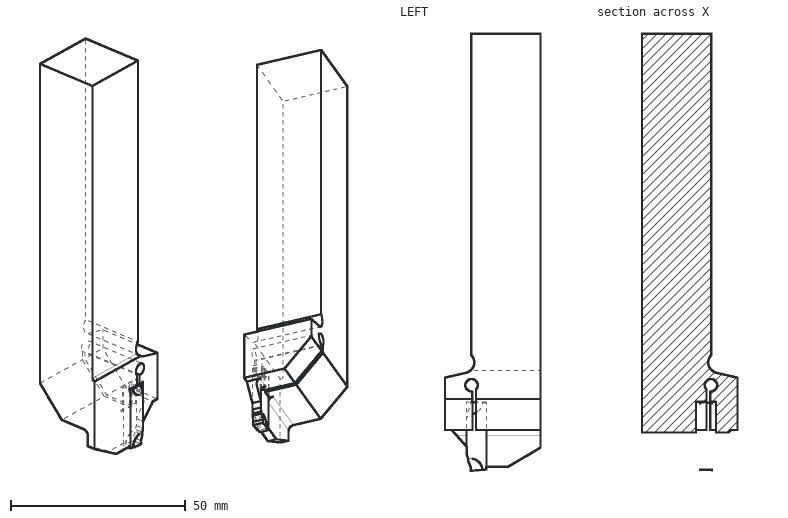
import cadquery as cq
import math

arc_mid = math.sqrt(0.5)

tool_length = 125.0
shank_size = 19.9

head_right = 20.8
head_back = 27.4
step_z = 28.8
step_fillet = 0.8
head_bottom = 11.6
chamfer_width = 8.2
chamfer_height = 9.0

blade_left = 18.1
blade_bottom = 1.1
blade_fillet = 1.5
blade_slope_width = 9.4
blade_slope_top = 6.6

jaw_slope_start = 25.4
jaw_tip_z = 6.9
relief_radius = 3.0
relief_y = 22.0
relief_z = 31.0
jaw_top_slope = math.radians(13)

hole_y = 19.8
hole_z = 24.5
hole_diameter = 3.5
slot_front = 18.5
slot_back = 19.5

insert_length = 19.8
insert_front = 15.5
insert_back = 21.1
insert_left = blade_left
insert_right = head_right
edge_y = 20.0
end_relief = 0.4

land_length = 1.1
ridge_y = 20.8
ridge_start = 2.8
ridge_end = 3.5
rake_end = 4.6

head_overhang = 0.2
nose_radius = 0.2
flank_front = 16.6
flank_mid_y = 17.8
flank_mid_z = 2.6


def cut_box(x0, x1, y0, y1, z0, z1):
    """Box given by its limits along each axis."""
    return cq.Workplane("XY").box(x1 - x0, y1 - y0, z1 - z0, centered=False).translate((x0, y0, z0))


def holder_side_profile():
    """Outline of shank, jaw and blade in the YZ plane, extruded across the head."""
    arc_start_z = relief_z + math.sqrt(relief_radius**2 - (relief_y - shank_size) ** 2)
    arc_end_y = relief_y - relief_radius * math.sin(jaw_top_slope)
    arc_end_z = relief_z - relief_radius * math.cos(jaw_top_slope)
    jaw_top_z = arc_end_z - (head_back - arc_end_y) * math.tan(jaw_top_slope)
    return (
        cq.Workplane("YZ")
        .moveTo(0, blade_slope_top)
        .lineTo(0, tool_length)
        .lineTo(shank_size, tool_length)
        .lineTo(shank_size, arc_start_z)
        .threePointArc((relief_y - relief_radius, relief_z), (arc_end_y, arc_end_z))
        .lineTo(head_back, jaw_top_z)
        .lineTo(head_back, head_bottom)
        .lineTo(jaw_slope_start, head_bottom)
        .lineTo(insert_back, jaw_tip_z)
        .lineTo(insert_front, blade_bottom)
        .lineTo(blade_slope_width, blade_bottom)
        .close()
        .extrude(head_right)
    )


def holder_front_profile():
    """Outline of shank, stepped head and blade in the XZ plane, extruded over the full depth."""
    step_center = (shank_size + step_fillet, step_z + step_fillet)
    blade_center = (blade_left - blade_fillet, head_bottom - blade_fillet)
    step_mid = (step_center[0] - step_fillet * arc_mid, step_center[1] - step_fillet * arc_mid)
    blade_mid = (blade_center[0] + blade_fillet * arc_mid, blade_center[1] + blade_fillet * arc_mid)
    return (
        cq.Workplane("XZ")
        .moveTo(0, head_bottom + chamfer_height)
        .lineTo(0, tool_length)
        .lineTo(shank_size, tool_length)
        .lineTo(shank_size, step_center[1])
        .threePointArc(step_mid, (step_center[0], step_z))
        .lineTo(head_right, step_z)
        .lineTo(head_right, 0)
        .lineTo(blade_left, 0)
        .lineTo(blade_left, blade_center[1])
        .threePointArc(blade_mid, (blade_center[0], head_bottom))
        .lineTo(chamfer_width, head_bottom)
        .close()
        .extrude(-head_back)
    )


def keyhole():
    """Round hole through the head, with a slot running from it down to the insert."""
    hole = cq.Workplane("YZ").center(hole_y, hole_z).circle(hole_diameter / 2).extrude(head_right)
    slot = cut_box(0, head_right, slot_front, slot_back, 0, hole_z)
    return hole.union(slot)


def insert_pocket():
    """Seat for the insert, open towards -Z and +X, clearing the blade fillet beside it."""
    seat_left = insert_left - head_overhang
    seat = cut_box(seat_left, head_right, insert_front, insert_back, 0, insert_length)
    clearance = cut_box(blade_left - blade_fillet, head_right, insert_front, insert_back, 0, head_bottom)
    return seat.union(clearance)


def make_holder():
    blank = holder_side_profile().intersect(holder_front_profile())
    return blank.cut(keyhole()).cut(insert_pocket())


def insert_body():
    """Bar with a cutting edge and a hollowed rake face at each end."""
    rake = [
        (edge_y, 0),
        (edge_y, land_length),
        (ridge_y, ridge_start),
        (ridge_y, ridge_end),
        (insert_back, rake_end),
    ]
    lower_end = [(insert_front, end_relief)] + rake
    upper_end = [(y, insert_length - z) for y, z in reversed(lower_end)]
    return (
        cq.Workplane("YZ", origin=(insert_left, 0, 0))
        .polyline(lower_end + upper_end)
        .close()
        .extrude(insert_right - insert_left)
    )


def cutting_head():
    """Widened lower end of the insert, its flanks tapering into the body from rounded noses."""
    wide_left = insert_left - head_overhang
    wide_right = insert_right + head_overhang
    end_slope = end_relief / (edge_y - insert_front)
    flank_front_z = (edge_y - flank_front) * end_slope
    side = (
        cq.Workplane("YZ", origin=(wide_left, 0, 0))
        .moveTo(flank_front, flank_front_z)
        .lineTo(edge_y, 0)
        .lineTo(edge_y, land_length)
        .lineTo(ridge_y, ridge_start)
        .lineTo(ridge_y, ridge_end)
        .threePointArc((flank_mid_y, flank_mid_z), (flank_front, flank_front_z))
        .close()
        .extrude(wide_right - wide_left)
    )
    nose_mid_offset = nose_radius * (1 - arc_mid)
    front = (
        cq.Workplane("XZ")
        .moveTo(wide_left, nose_radius)
        .lineTo(insert_left, ridge_end)
        .lineTo(insert_right, ridge_end)
        .lineTo(wide_right, nose_radius)
        .threePointArc((wide_right - nose_mid_offset, nose_mid_offset), (wide_right - nose_radius, 0))
        .lineTo(wide_left + nose_radius, 0)
        .threePointArc((wide_left + nose_mid_offset, nose_mid_offset), (wide_left, nose_radius))
        .close()
        .extrude(-insert_back)
    )
    return side.intersect(front)


def make_insert():
    lower_head = cutting_head()
    upper_head = lower_head.mirror("XY", (0, 0, insert_length / 2))
    return insert_body().union(lower_head).union(upper_head)


holder = make_holder()
insert = make_insert()

result = cq.Compound.makeCompound([holder.solids().val(), insert.solids().val()])